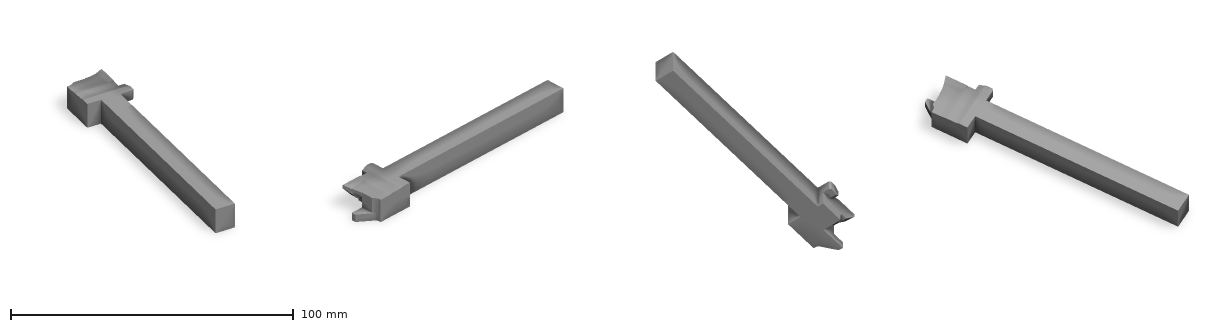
import cadquery as cq

length = 103.3
width = 19.0
height = 10.0

shank_start = 20.9
shank_low_y = 5.6
shank_high_y = 13.4

flange_start = 15.2
flange_side_y = 18.3
flange_corner = 0.6
crest_x = 18.5
nose_x = 5.1
edge_inner_x = 4.9
heel_x = 6.3
heel_flat_y = 1.0
nose_low_y = 3.1
wall_y = 8.2
tab_y = 15.8
tab_tip_x = 3.1
edge_mid_x = 4.1
edge_mid_y = 12.7
edge_bow = (4.6, 10.4)
heel_bow = (5.9, 2.1)

rake_z = 9.3
rake_end = 9.4
land_z = 9.6
land_start = 12.2
crown_start = 17.6
land_bow = (10.8, 9.4)
crown_bow = (16.4, 9.7)
tab_rise = 0.6
tab_end = 11.9

edge_bottom_z = 8.5
slope_start_z = 8.9
slope_end_x = 9.0
slope_end_z = 5.2
lip_x = 11.0
lip_z = 1.5
block_end_x = 7.6
block_end_z = 3.6

ear_front_z = 7.5
ear_bottom_z = 6.0
ear_slope_end = 17.1

finger_height = 3.1
finger_tip_y = 6.4
finger_root_x = 5.9
finger_root_y = 2.0


def slab(low_y, high_y):
    """XZ workplane at high_y and the depth that extrudes it down to low_y."""
    return cq.Workplane("XZ", origin=(0, high_y, 0)), high_y - low_y


def make_head():
    outline = (
        cq.Workplane("XY")
        .moveTo(heel_x, 0)
        .lineTo(shank_start, 0)
        .lineTo(shank_start, width - flange_corner)
        .lineTo(shank_start - flange_corner, width)
        .lineTo(crest_x, width)
        .lineTo(flange_start, flange_side_y)
        .lineTo(flange_start, tab_y)
        .lineTo(tab_tip_x, tab_y)
        .lineTo(edge_mid_x, edge_mid_y)
        .threePointArc(edge_bow, (edge_inner_x, wall_y))
        .lineTo(nose_x, wall_y)
        .lineTo(nose_x, nose_low_y)
        .threePointArc(heel_bow, (heel_x, heel_flat_y))
        .close()
        .extrude(height)
    )
    plane, depth = slab(0, width)
    profile = (
        plane.lineTo(shank_start, 0)
        .lineTo(shank_start, height)
        .lineTo(crown_start, height)
        .threePointArc(crown_bow, (flange_start, land_z))
        .lineTo(land_start, land_z)
        .threePointArc(land_bow, (rake_end, rake_z))
        .lineTo(0, rake_z)
        .close()
        .extrude(depth)
    )
    return outline.intersect(profile)


def make_tab():
    """Strip whose top rises from the rake face toward the +Y side."""
    wedge = (
        cq.Workplane("YZ")
        .polyline([(edge_mid_y, edge_bottom_z), (tab_y, edge_bottom_z),
                   (tab_y, rake_z + tab_rise), (edge_mid_y, rake_z)])
        .close()
        .extrude(tab_end)
    )
    plan = (
        cq.Workplane("XY")
        .polyline([(tab_tip_x, tab_y), (edge_mid_x, edge_mid_y),
                   (tab_end, edge_mid_y), (tab_end, tab_y)])
        .close()
        .extrude(height)
    )
    return wedge.intersect(plan)


def make_gullet():
    """Sloped hollow rounding into an upright lip, with a block left under the tab."""
    plane, depth = slab(wall_y, tab_y)
    hollow = (
        plane.lineTo(lip_x, 0)
        .lineTo(lip_x, lip_z)
        .tangentArcPoint((slope_end_x, slope_end_z), relative=False)
        .lineTo(tab_tip_x, slope_start_z)
        .lineTo(0, slope_start_z)
        .close()
        .extrude(depth)
    )
    plane, depth = slab(edge_mid_y, tab_y)
    block = (
        plane.moveTo(tab_tip_x, edge_bottom_z)
        .lineTo(block_end_x, block_end_z)
        .lineTo(lip_x, block_end_z)
        .lineTo(lip_x, height)
        .lineTo(tab_tip_x, height)
        .close()
        .extrude(depth)
    )
    return hollow.cut(block)


def make_ear_clearance():
    plane, depth = slab(tab_y, width)
    return (
        plane.moveTo(flange_start, 0)
        .lineTo(shank_start, 0)
        .lineTo(shank_start, ear_bottom_z)
        .lineTo(ear_slope_end, ear_bottom_z)
        .lineTo(flange_start, ear_front_z)
        .close()
        .extrude(depth)
    )


def make_finger():
    return (
        cq.Workplane("XY")
        .polyline([(0, wall_y), (0, finger_tip_y), (finger_root_x, finger_root_y),
                   (finger_root_x, wall_y)])
        .close()
        .extrude(finger_height)
    )


shank = cq.Workplane("XY").box(
    length - shank_start, shank_high_y - shank_low_y, height, centered=False
).translate((shank_start, shank_low_y, 0))

head = make_head().union(make_tab()).cut(make_gullet()).cut(make_ear_clearance())
result = head.union(make_finger()).union(shank)